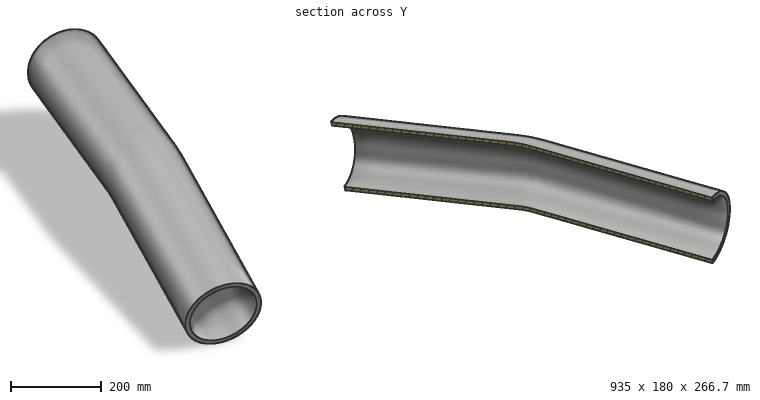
import cadquery as cq
import math

overall_length = 935.0
outer_diameter = 180.0
bore_diameter = 159.0
bend_angle = 11.0
bend_radius = 270.0

angle = math.radians(bend_angle)
end_face_overhang = outer_diameter / 2 * math.sin(angle)
bend_run = bend_radius * math.sin(angle)
leg_length = (overall_length - bend_run - end_face_overhang) / (1 + math.cos(angle))


def bend_point(turn):
    """Point on the centreline of the bend after turning by the given angle."""
    x = leg_length + bend_radius * math.sin(turn)
    z = -bend_radius * (1 - math.cos(turn))
    return x, z


bend_end_x, bend_end_z = bend_point(angle)
far_end = (
    bend_end_x + leg_length * math.cos(angle),
    bend_end_z - leg_length * math.sin(angle),
)
centreline = (
    cq.Workplane("XZ")
    .moveTo(0, 0)
    .lineTo(leg_length, 0)
    .threePointArc(bend_point(angle / 2), (bend_end_x, bend_end_z))
    .lineTo(*far_end)
)

result = (
    cq.Workplane("YZ")
    .circle(outer_diameter / 2)
    .circle(bore_diameter / 2)
    .sweep(centreline)
)